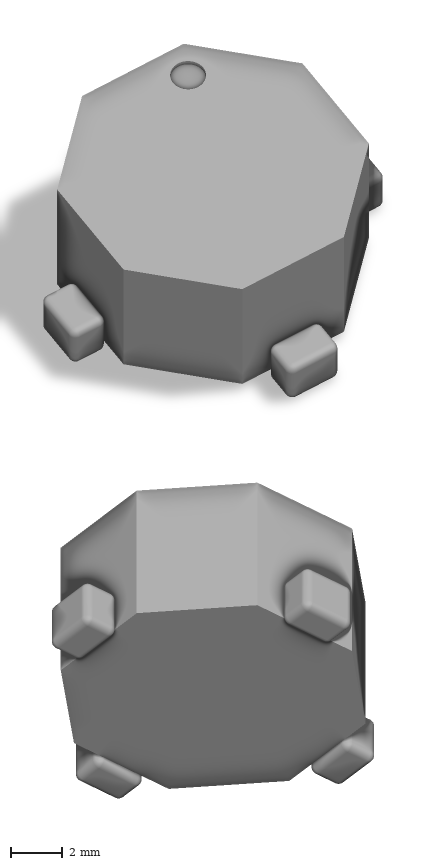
import cadquery as cq
import math

housing_sides = 8
housing_width = 11.44
housing_height = 6.0

mark_diameter = 1.4
mark_depth = 0.2
mark_x = -4.32
mark_y = 1.66

terminal_count = 4
terminal_length = 1.565
terminal_width = 2.35
terminal_height = 2.0
terminal_drop = 0.35
terminal_fillet = 0.3


def make_housing():
    half_sector = 360 / housing_sides / 2
    corner_diameter = housing_width / math.cos(math.radians(half_sector))
    prism = (
        cq.Workplane("XY")
        .transformed(rotate=(0, 0, half_sector))
        .polygon(housing_sides, corner_diameter)
        .extrude(housing_height)
    )
    mark = (
        cq.Workplane("XY", origin=(mark_x, mark_y, housing_height - mark_depth))
        .circle(mark_diameter / 2)
        .extrude(mark_depth)
    )
    return prism.cut(mark)


def make_terminal(angle):
    center_x = (housing_width + terminal_length) / 2
    center_z = terminal_height / 2 - terminal_drop
    return (
        cq.Workplane("XY")
        .box(terminal_length, terminal_width, terminal_height)
        .edges()
        .fillet(terminal_fillet)
        .translate((center_x, 0, center_z))
        .rotate((0, 0, 0), (0, 0, 1), angle)
    )


housing = make_housing()
terminals = [make_terminal(i * 360 / terminal_count) for i in range(terminal_count)]

result = cq.Compound.makeCompound([housing.val(), *[terminal.val() for terminal in terminals]])